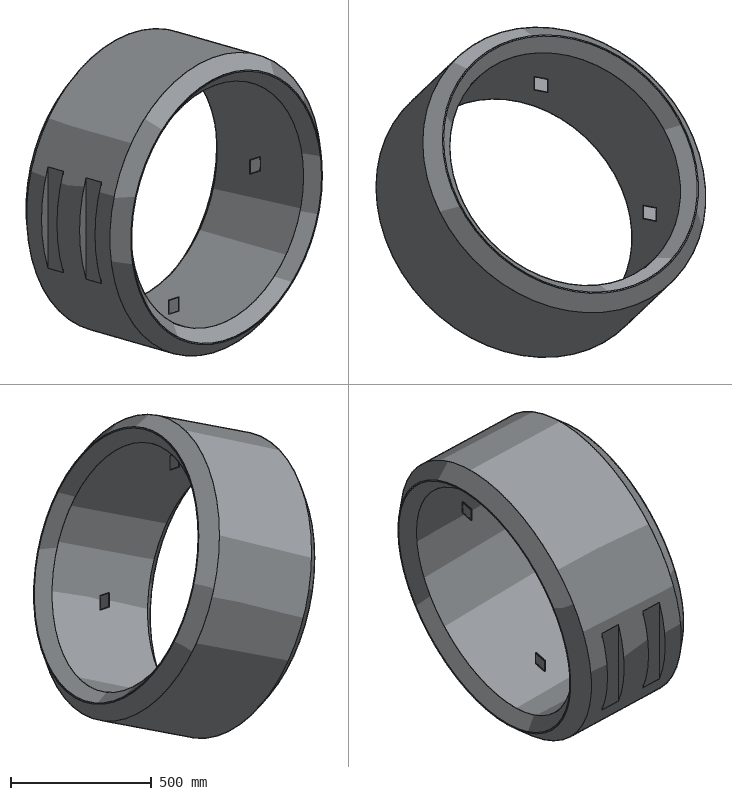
import cadquery as cq

width = 510.0
outer_radius = 1105.0 / 2
bore_radius = 900.0 / 2
wall = outer_radius - bore_radius
end_land = 5.0
outer_chamfer = 52.5
inner_chamfer = wall - outer_chamfer - end_land

slot_width = 75.0
slot_gap = 110.0
slot_floor = 519.0

tab_count = 4
tab_width = 52.0
tab_tip_radius = 398.0
tab_root_radius = bore_radius + wall / 4
tab_thickness = 4.0


def make_ring():
    """Revolve the wall section, chamfered inside and outside at both ends."""
    end = width / 2
    land_outer = outer_radius - outer_chamfer
    land_inner = bore_radius + inner_chamfer
    section = [
        (-end, land_inner),
        (-end, land_outer),
        (-end + outer_chamfer, outer_radius),
        (end - outer_chamfer, outer_radius),
        (end, land_outer),
        (end, land_inner),
        (end - inner_chamfer, bore_radius),
        (-end + inner_chamfer, bore_radius),
    ]
    return cq.Workplane("XY").polyline(section).close().revolve(360, (0, 0, 0), (1, 0, 0))


def make_slot_cutter(center_x):
    """Block that removes everything beyond the slot floor on the -Y side."""
    depth = outer_radius - slot_floor
    cutter = cq.Workplane("XY").box(slot_width, depth, 2 * outer_radius)
    return cutter.translate((center_x, -slot_floor - depth / 2, 0))


def make_tab(angle):
    """Square tab rooted in the wall, turned about the ring axis."""
    length = tab_root_radius - tab_tip_radius
    tab = cq.Workplane("XY").box(tab_thickness, tab_width, length)
    tab = tab.translate((-tab_thickness / 2, 0, tab_tip_radius + length / 2))
    return tab.rotate((0, 0, 0), (1, 0, 0), angle)


result = make_ring()

slot_offset = (slot_gap + slot_width) / 2
for side in (-1, 1):
    result = result.cut(make_slot_cutter(side * slot_offset))

for index in range(tab_count):
    result = result.union(make_tab(index * 360 / tab_count))